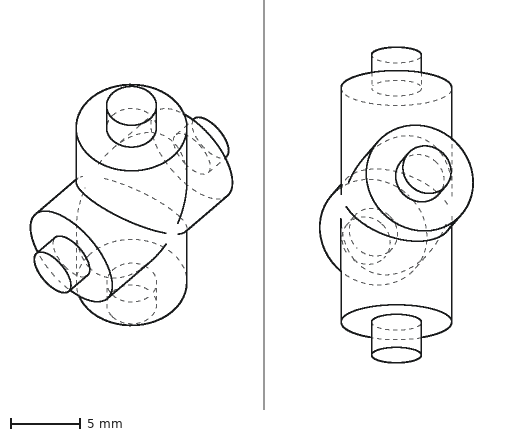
import cadquery as cq

body_diameter = 8.0
pin_diameter = 3.6
vertical_length = 22.8
vertical_pin_length = 2.5
cross_length = 16.9
cross_pin_length = 2.0


def centered_cylinder(plane, diameter, length):
    """Cylinder centred on the origin, along the normal of the plane."""
    return cq.Workplane(plane).circle(diameter / 2).extrude(length / 2, both=True)


def pinned_bar(plane, overall_length, pin_length):
    """Thick round bar with a thinner coaxial pin on each end."""
    body = centered_cylinder(plane, body_diameter, overall_length - 2 * pin_length)
    pins = centered_cylinder(plane, pin_diameter, overall_length)
    return body.union(pins)


vertical_bar = pinned_bar("XY", vertical_length, vertical_pin_length)
cross_bar = pinned_bar("XZ", cross_length, cross_pin_length)
result = vertical_bar.union(cross_bar)